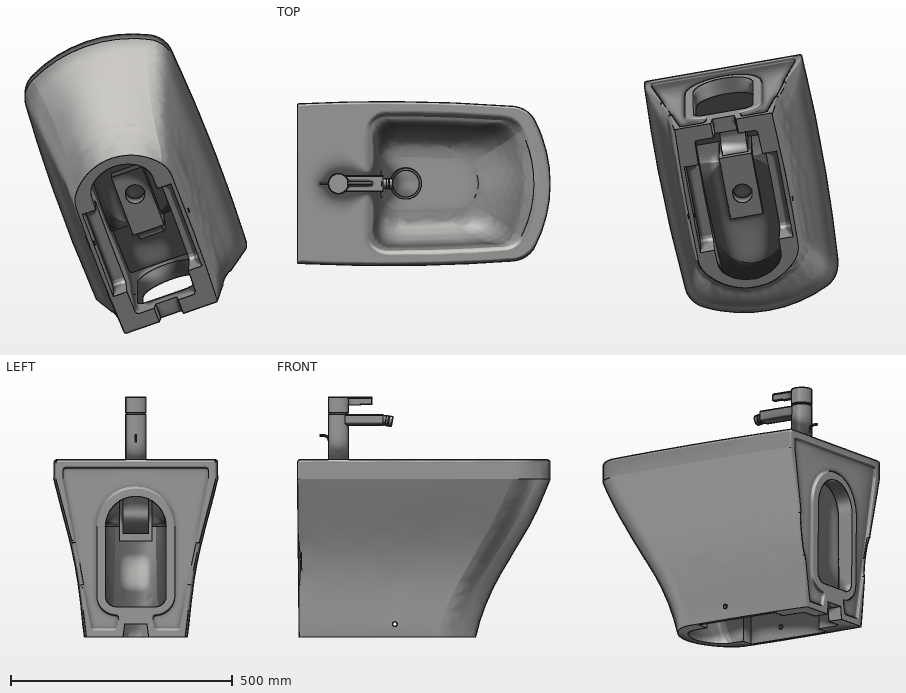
import cadquery as cq
import math

PICK_MARGIN = 1.0
CUT_OVERRUN = 2.0
TOLERANCE = 1e-6

PAN_LENGTH = 570.09
PAN_WIDTH = 370.0
DECK_Z = 400.0
RIM_BOTTOM_Z = 356.0
BACK_LEAN = 4.0
BACK_CORNER_R = 4.0
RIM_FILLET = 8.0
BACK_TOP_Z = DECK_Z - RIM_FILLET
SIDE_BULGE_X = 200.0
SIDE_ARC_R = 3900.0

SKIRT_LEVELS = [
    (0.0, 402.0, 116.0, 130.0, 60.0),
    (80.0, 428.0, 125.0, 145.0, 60.0),
    (150.0, 463.0, 134.5, 170.0, 62.0),
    (225.0, 508.0, 151.0, 210.0, 64.0),
    (310.0, 552.0, 173.5, 275.0, 65.0),
    (RIM_BOTTOM_Z, PAN_LENGTH, PAN_WIDTH / 2, 310.0, 62.0),
]

BOWL_BACK_CORNER_R = 42.0
BOWL_WALL = 13.0
BOWL_MOUTH_FILLET = 14.0
BOWL_LEVELS = [
    (262.0, 188.0, 408.0, 60.0, 62.0, 45.0),
    (275.0, 181.0, 442.0, 104.0, 140.0, 65.0),
    (300.0, 175.0, 480.0, 129.0, 200.0, 65.0),
    (345.0, 169.0, 512.0, 144.0, 240.0, 55.0),
    (DECK_Z, 158.0, 538.0, 154.0, 270.0, 45.0),
]

BACK_WALL = 38.0
CAVITY_TOP_Z = 345.0
CAVITY_CORNER_R = 8.0
CAVITY_LEVELS = [
    (0.0, 382.0, 75.0, 90.0, 45.0),
    (150.0, 443.0, 80.0, 110.0, 50.0),
    (CAVITY_TOP_Z, 530.0, 90.0, 200.0, 40.0),
]
POCKET_X = (95.0, 300.0)
POCKET_HALF_WIDTH = 106.0
POCKET_HEIGHT = 82.0
POCKET_CORNER_R = 12.0
BOLT_HOLE_DIA = 10.0
BOLT_HOLE_X = 220.0
BOLT_HOLE_Z = 29.0

WINDOW_HALF_WIDTH = 68.5
WINDOW_BOTTOM_Z = 68.0
WINDOW_TOP_Z = 317.0
WINDOW_CORNER_R = 25.0
WINDOW_BORDER = 19.5
PANEL_DEPTH = 8.0
PANEL_FLOOR_FILLET = 3.9
PANEL_RIM_FILLET = 3.5
PANEL_CORNER_R = 7.0
PANEL_TOP_Z = 381.0
PANEL_SHOULDER_Z = 358.0
PANEL_BOTTOM_Z = 16.5
PANEL_TOP_HALF_WIDTH = 164.0
PANEL_BOTTOM_HALF_WIDTH = 98.0
TONGUE_TOP_Z = 60.0
TONGUE_TOP_HALF_WIDTH = 34.0
TONGUE_BOTTOM_HALF_WIDTH = 49.0
NOTCH_HEIGHT = 29.0
NOTCH_TOP_HALF_WIDTH = 25.0
NOTCH_BOTTOM_HALF_WIDTH = 29.0

DRAIN_X = 245.0
PLUG_DIA = 60.0
PLUG_EDGE_HEIGHT = 4.0
PLUG_DOME_HEIGHT = 5.0
DRAIN_RECESS_DIA = 70.0
DRAIN_SEAT_Z = 255.0
DRAIN_EDGE_FILLET = 3.0
DRAIN_BORE_DIA = 44.0
TRAP_HALF_WIDTH = 29.0
TRAP_X = (125.0, 300.0)
TRAP_BOTTOM_Z = 226.0
TRAP_ARC_R = 57.0
FLANGE_HALF_WIDTH = 37.0
FLANGE_X = (155.0, 300.0)
FLANGE_BOTTOM_Z = 216.0

TAP_X = 92.8
TAP_DIA = 46.0
TAP_NECK_DIA = 42.0
TAP_SHOULDER_Z = 502.0
CAP_BOTTOM_Z = 505.0
TAP_TOP_Z = 540.63
CAP_CHAMFER = 1.0
SPOUT_END_X = 193.5
SPOUT_TOP_Z = 501.0
SPOUT_TOP_CHAMFER = 1.5
SPOUT_WIDTH = 36.0
SPOUT_BOTTOM_Z = 477.0
SPOUT_EDGE_R = 8.0
LEVER_X = (113.0, 168.0)
LEVER_WIDTH = 10.0
LEVER_BOTTOM_Z = 524.5
LEVER_CHAMFER = 3.5
LEVER_KEEL_END_X = 142.0
LEVER_KEEL_DROP = 2.0

NOZZLE_TILT = 10.0
JOINT_DIA = 21.15
JOINT_LENGTH = 6.0
JOINT_SOCKET = 5.0
NOZZLE_DIA = 23.15
NOZZLE_GROOVE_DIA = 21.33
NOZZLE_LIP_DIA = 20.15
NOZZLE_COLLAR = 5.0
NOZZLE_GROOVE = 2.0
NOZZLE_HEAD = 7.0
NOZZLE_LIP = 1.0

ROD_DIA = 4.0
ROD_TIP_X = 51.3
ROD_TOP_Z = 454.0
ROD_BEND_X = 59.0
ROD_FOOT = (72.0, 439.0)


def rounded_outline(z, back, front, half_width, front_r, corner_r, back_corner_r):
    """Closed outline with a straight back, bulging sides and a bowed front, all arcs tangent."""
    side_center_y = half_width - SIDE_ARC_R
    front_center_x = front - front_r
    to_side = SIDE_ARC_R - corner_r
    to_front = front_r - corner_r
    dx = front_center_x - SIDE_BULGE_X
    dy = -side_center_y
    span = math.hypot(dx, dy)
    along = (to_side**2 - to_front**2 + span**2) / (2 * span)
    across = math.sqrt(to_side**2 - along**2)
    corner_x = SIDE_BULGE_X + (along * dx + across * dy) / span
    corner_y = side_center_y + (along * dy - across * dx) / span

    side_angle = math.atan2(corner_y - side_center_y, corner_x - SIDE_BULGE_X)
    front_angle = math.atan2(corner_y, corner_x - front_center_x)
    mid_angle = (side_angle + front_angle) / 2

    def on_corner(angle):
        return corner_x + corner_r * math.cos(angle), corner_y + corner_r * math.sin(angle)

    def on_side(x):
        return x, side_center_y + math.sqrt(SIDE_ARC_R**2 - (x - SIDE_BULGE_X) ** 2)

    def mirrored(point):
        return point[0], -point[1]

    back_end = on_side(back)
    side_end = on_corner(side_angle)
    side_mid = on_side((back + side_end[0]) / 2)
    corner_mid = on_corner(mid_angle)
    front_end = on_corner(front_angle)
    wire = (
        cq.Workplane("XY", origin=(0, 0, z))
        .moveTo(*mirrored(back_end))
        .threePointArc(mirrored(side_mid), mirrored(side_end))
        .threePointArc(mirrored(corner_mid), mirrored(front_end))
        .threePointArc((front, 0), front_end)
        .threePointArc(corner_mid, side_end)
        .threePointArc(side_mid, back_end)
        .close()
        .val()
    )
    back_corners = [v for v in wire.Vertices() if abs(v.X - back) < TOLERANCE]
    return wire.fillet2D(back_corner_r, back_corners)


def edges_within(x_range, half_width, z_range):
    """Selector of edges that lie wholly in a box centred on Y."""
    return cq.selectors.BoxSelector(
        (x_range[0] - PICK_MARGIN, -half_width - PICK_MARGIN, z_range[0] - PICK_MARGIN),
        (x_range[1] + PICK_MARGIN, half_width + PICK_MARGIN, z_range[1] + PICK_MARGIN),
        boundingbox=True,
    )


def box_between(x_range, half_width, z_range):
    """Box centred on Y between two X and two Z values."""
    size_x = x_range[1] - x_range[0]
    size_z = z_range[1] - z_range[0]
    return cq.Workplane("XY").box(size_x, 2 * half_width, size_z).translate(
        ((x_range[0] + x_range[1]) / 2, 0, (z_range[0] + z_range[1]) / 2)
    )


def back_x(z):
    """X of the leaning back face at height z."""
    return BACK_LEAN * (1 - z / BACK_TOP_Z)


def skirt_section(z, front, half_width, front_r, corner_r):
    return rounded_outline(z, back_x(z), front, half_width, front_r, corner_r, BACK_CORNER_R)


def make_outer_block():
    """Flared skirt with an upright rim on top, rounded along the deck."""
    sections = [skirt_section(*level) for level in SKIRT_LEVELS]
    deck_section = skirt_section(DECK_Z, *SKIRT_LEVELS[-1][1:])
    skirt = cq.Workplane(cq.Solid.makeLoft(sections))
    rim = cq.Workplane(cq.Solid.makeLoft([sections[-1], deck_section], True))
    return skirt.union(rim).faces(">Z").edges().fillet(RIM_FILLET)


def make_bowl(wall):
    """Bowl-shaped block; a positive wall makes it the outside of the bowl."""
    sections = []
    for z, back, front, half_width, front_r, corner_r in BOWL_LEVELS:
        sections.append(
            rounded_outline(
                z - wall, back - wall, front + wall, half_width + wall,
                front_r + wall, corner_r + wall, BOWL_BACK_CORNER_R + wall,
            )
        )
    return cq.Workplane(cq.Solid.makeLoft(sections))


def make_cavity():
    """Hollow under the bowl, open at the foot, with a pocket for the floor bolts on each side."""
    sections = [rounded_outline(z, BACK_WALL, *sizes, CAVITY_CORNER_R) for z, *sizes in CAVITY_LEVELS]
    pockets = box_between(POCKET_X, POCKET_HALF_WIDTH, (0, POCKET_HEIGHT))
    pockets = pockets.edges("|Y and >Z").fillet(POCKET_CORNER_R)
    return cq.Workplane(cq.Solid.makeLoft(sections)).union(pockets)


def make_trap():
    """Water way under the bowl: a block with a rounded back, and a wider flange under it."""
    block = box_between(TRAP_X, TRAP_HALF_WIDTH, (TRAP_BOTTOM_Z, CAVITY_TOP_Z))
    block = block.edges("|Y and <X and <Z").fillet(TRAP_ARC_R)
    flange = box_between(FLANGE_X, FLANGE_HALF_WIDTH, (FLANGE_BOTTOM_Z, CAVITY_TOP_Z))
    return block.union(flange)


def window_prism(border, depth):
    """Arched opening of the back wall, grown by a border."""
    half_width = WINDOW_HALF_WIDTH + border
    bottom = WINDOW_BOTTOM_Z - border
    arch_z = WINDOW_TOP_Z - WINDOW_HALF_WIDTH
    straight = (
        cq.Workplane("YZ")
        .moveTo(-half_width, bottom)
        .lineTo(half_width, bottom)
        .lineTo(half_width, arch_z)
        .threePointArc((0, arch_z + half_width), (-half_width, arch_z))
        .close()
        .extrude(depth)
    )
    return straight.edges("|X and <Z").fillet(WINDOW_CORNER_R + border)


def make_back_panel():
    """Shallow recess of the back face, around the window border and the tongue below it."""
    panel = (
        cq.Workplane("YZ")
        .polyline([
            (-PANEL_BOTTOM_HALF_WIDTH, PANEL_BOTTOM_Z),
            (PANEL_BOTTOM_HALF_WIDTH, PANEL_BOTTOM_Z),
            (PANEL_TOP_HALF_WIDTH, PANEL_SHOULDER_Z),
            (PANEL_TOP_HALF_WIDTH, PANEL_TOP_Z),
            (-PANEL_TOP_HALF_WIDTH, PANEL_TOP_Z),
            (-PANEL_TOP_HALF_WIDTH, PANEL_SHOULDER_Z),
        ])
        .close()
        .extrude(PANEL_DEPTH)
    )
    tongue = (
        cq.Workplane("YZ")
        .polyline([
            (-TONGUE_BOTTOM_HALF_WIDTH, 0),
            (TONGUE_BOTTOM_HALF_WIDTH, 0),
            (TONGUE_TOP_HALF_WIDTH, TONGUE_TOP_Z),
            (-TONGUE_TOP_HALF_WIDTH, TONGUE_TOP_Z),
        ])
        .close()
        .extrude(PANEL_DEPTH)
    )
    panel = panel.cut(window_prism(WINDOW_BORDER, PANEL_DEPTH)).cut(tongue)
    panel = panel.edges("|X").fillet(PANEL_CORNER_R)
    panel = panel.faces(">X").edges().fillet(PANEL_FLOOR_FILLET)
    lean = math.degrees(math.atan2(BACK_LEAN, BACK_TOP_Z))
    return panel.rotate((0, 0, 0), (0, 1, 0), -lean).translate((BACK_LEAN, 0, 0))


def make_foot_notch():
    """Tapered gap through the foot of the back wall."""
    return (
        cq.Workplane("YZ")
        .polyline([
            (-NOTCH_BOTTOM_HALF_WIDTH, 0),
            (NOTCH_BOTTOM_HALF_WIDTH, 0),
            (NOTCH_TOP_HALF_WIDTH, NOTCH_HEIGHT),
            (-NOTCH_TOP_HALF_WIDTH, NOTCH_HEIGHT),
        ])
        .close()
        .extrude(BACK_WALL + CUT_OVERRUN)
    )


def make_pan():
    pan = make_outer_block().cut(make_back_panel())
    panel_rim = edges_within(
        (0, BACK_LEAN - PICK_MARGIN), PANEL_TOP_HALF_WIDTH, (PANEL_BOTTOM_Z, PANEL_TOP_Z)
    )
    pan = pan.edges(panel_rim).fillet(PANEL_RIM_FILLET)

    hollow = make_cavity().cut(make_bowl(BOWL_WALL)).cut(make_trap())
    pan = pan.cut(hollow).cut(make_bowl(0))
    mouth_back, mouth_front, mouth_half_width = BOWL_LEVELS[-1][1:4]
    mouth = edges_within((mouth_back, mouth_front), mouth_half_width, (DECK_Z, DECK_Z))
    pan = pan.edges(mouth).fillet(BOWL_MOUTH_FILLET)
    pan = pan.cut(window_prism(0, BACK_WALL + CUT_OVERRUN)).cut(make_foot_notch())

    bolt_holes = (
        cq.Workplane("XZ", origin=(BOLT_HOLE_X, 0, BOLT_HOLE_Z))
        .circle(BOLT_HOLE_DIA / 2)
        .extrude(PAN_WIDTH / 2, both=True)
    )
    recess = (
        cq.Workplane("XY", origin=(DRAIN_X, 0, DRAIN_SEAT_Z))
        .circle(DRAIN_RECESS_DIA / 2)
        .extrude(BOWL_WALL * 2)
    )
    bore = (
        cq.Workplane("XY", origin=(DRAIN_X, 0, 0))
        .circle(DRAIN_BORE_DIA / 2)
        .extrude(DRAIN_SEAT_Z)
    )
    pan = pan.cut(bolt_holes).cut(recess)
    recess_r = DRAIN_RECESS_DIA / 2
    recess_rim = edges_within(
        (DRAIN_X - recess_r, DRAIN_X + recess_r),
        recess_r,
        (DRAIN_SEAT_Z + 2 * PICK_MARGIN, DRAIN_SEAT_Z + 2 * BOWL_WALL),
    )
    pan = pan.edges(recess_rim).fillet(DRAIN_EDGE_FILLET)
    return pan.cut(bore)


def make_plug():
    """Round plug with a domed top, resting on the drain seat."""
    radius = PLUG_DIA / 2
    dome_r = (radius**2 + PLUG_DOME_HEIGHT**2) / (2 * PLUG_DOME_HEIGHT)
    return (
        cq.Workplane("XZ")
        .lineTo(radius, 0)
        .lineTo(radius, PLUG_EDGE_HEIGHT)
        .radiusArc((0, PLUG_EDGE_HEIGHT + PLUG_DOME_HEIGHT), -dome_r)
        .close()
        .revolve()
        .translate((DRAIN_X, 0, DRAIN_SEAT_Z))
    )


def upright_cylinder(diameter, bottom_z, top_z):
    """Cylinder on the tap axis."""
    return (
        cq.Workplane("XY", origin=(TAP_X, 0, bottom_z))
        .circle(diameter / 2)
        .extrude(top_z - bottom_z)
    )


def make_lever():
    keel_z = LEVER_BOTTOM_Z - LEVER_KEEL_DROP
    bar = box_between(LEVER_X, LEVER_WIDTH / 2, (LEVER_BOTTOM_Z, TAP_TOP_Z))
    bar = bar.edges("|X and >Z").chamfer(LEVER_CHAMFER)
    keel = box_between((LEVER_X[0], LEVER_KEEL_END_X), LEVER_WIDTH / 2, (keel_z, LEVER_BOTTOM_Z))
    return bar.union(keel)


def make_cap(lever):
    cap = upright_cylinder(TAP_DIA, CAP_BOTTOM_Z, TAP_TOP_Z).edges().chamfer(CAP_CHAMFER)
    return cap.cut(lever)


def nozzle_cylinder(diameter, start, length):
    """Cylinder on the tilted nozzle axis, measured from the centre of the spout end."""
    tilt = math.radians(NOZZLE_TILT)
    direction = cq.Vector(math.cos(tilt), 0, -math.sin(tilt))
    center = cq.Vector(SPOUT_END_X, 0, (SPOUT_BOTTOM_Z + SPOUT_TOP_Z) / 2)
    return cq.Workplane(
        cq.Solid.makeCylinder(diameter / 2, length, center + direction * start, direction)
    )


def make_joint():
    return nozzle_cylinder(JOINT_DIA, -JOINT_SOCKET, JOINT_SOCKET + JOINT_LENGTH)


def make_nozzle():
    steps = [
        (NOZZLE_DIA, NOZZLE_COLLAR),
        (NOZZLE_GROOVE_DIA, NOZZLE_GROOVE),
        (NOZZLE_DIA, NOZZLE_HEAD),
        (NOZZLE_LIP_DIA, NOZZLE_LIP),
    ]
    start = JOINT_LENGTH
    nozzle = cq.Workplane("XY")
    for diameter, length in steps:
        nozzle = nozzle.union(nozzle_cylinder(diameter, start, length))
        start += length
    return nozzle


def make_rod():
    """Bent rod: it leaves the tap rising backwards and turns level at its tip."""
    path = (
        cq.Workplane("XZ")
        .moveTo(ROD_TIP_X, ROD_TOP_Z)
        .lineTo(ROD_BEND_X, ROD_TOP_Z)
        .tangentArcPoint(ROD_FOOT, relative=False)
    )
    profile = cq.Workplane("YZ", origin=(ROD_TIP_X, 0, ROD_TOP_Z)).circle(ROD_DIA / 2)
    return profile.sweep(path)


def make_tap_body(joint, rod):
    column = upright_cylinder(TAP_DIA, DECK_Z, TAP_SHOULDER_Z)
    neck = upright_cylinder(TAP_NECK_DIA, TAP_SHOULDER_Z, CAP_BOTTOM_Z)
    spout = box_between((TAP_X, SPOUT_END_X), SPOUT_WIDTH / 2, (SPOUT_BOTTOM_Z, SPOUT_TOP_Z))
    spout = spout.edges("|X and <Z").fillet(SPOUT_EDGE_R)
    spout = spout.edges("|X and >Z").chamfer(SPOUT_TOP_CHAMFER)
    return column.union(spout).union(neck).cut(joint).cut(rod)


pan = make_pan()
plug = make_plug()
lever = make_lever()
cap = make_cap(lever)
joint = make_joint()
nozzle = make_nozzle()
rod = make_rod()
tap_body = make_tap_body(joint, rod)

result = cq.Compound.makeCompound([
    body.val() for body in (pan, plug, tap_body, cap, lever, joint, nozzle, rod)
])